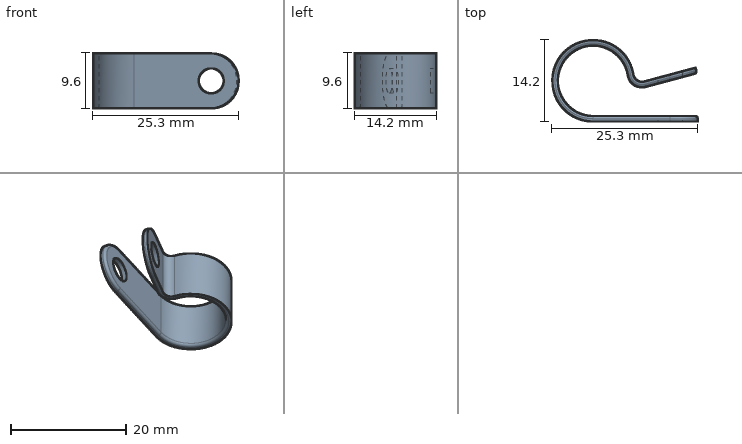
import cadquery as cq
import math

thickness = 1.0
width = 9.6
edge_radius = 0.5

loop_outer_radius = 7.1
loop_inner_radius = loop_outer_radius - thickness
loop_end_angle = 9.0

bend_small_radius = 1.5
bend_large_radius = bend_small_radius + thickness
tab_slope = 15.0

tab_end_radius = width / 2
flat_tab_length = 13.4
sloped_tab_length = 4.45
hole_diameter = 4.3
hole_x = flat_tab_length


def polar(radius, angle, center=(0.0, 0.0)):
    """Point at a radius and an angle in degrees around a center."""
    a = math.radians(angle)
    return (center[0] + radius * math.cos(a), center[1] + radius * math.sin(a))


flat_tab_angle = -90.0
loop_mid_angle = (loop_end_angle + 360.0 + flat_tab_angle) / 2
bend_center = polar(loop_outer_radius + bend_small_radius, loop_end_angle)
bend_start_angle = loop_end_angle + 180.0
bend_end_angle = tab_slope + 270.0
bend_mid_angle = (bend_start_angle + bend_end_angle) / 2


def make_loop_and_bend():
    """Curved part of the strip, from the flat tab to the sloped tab."""
    return (
        cq.Workplane("XY")
        .workplane(offset=-width / 2)
        .moveTo(*polar(loop_outer_radius, flat_tab_angle))
        .threePointArc(polar(loop_outer_radius, loop_mid_angle), polar(loop_outer_radius, loop_end_angle))
        .threePointArc(
            polar(bend_small_radius, bend_mid_angle, bend_center),
            polar(bend_small_radius, bend_end_angle, bend_center),
        )
        .lineTo(*polar(bend_large_radius, bend_end_angle, bend_center))
        .threePointArc(
            polar(bend_large_radius, bend_mid_angle, bend_center),
            polar(loop_inner_radius, loop_end_angle),
        )
        .threePointArc(polar(loop_inner_radius, loop_mid_angle), polar(loop_inner_radius, flat_tab_angle))
        .close()
        .extrude(width)
    )


def make_tab(outer_start, slope, inward_angle, straight_length):
    """Round-ended tab, grown inward from the outer face of the strip."""
    plane = cq.Plane(
        origin=(*outer_start, 0),
        xDir=(*polar(1, slope), 0),
        normal=(*polar(1, inward_angle), 0),
    )
    return (
        cq.Workplane(plane)
        .moveTo(0, -width / 2)
        .lineTo(straight_length, -width / 2)
        .threePointArc((straight_length + tab_end_radius, 0), (straight_length, width / 2))
        .lineTo(0, width / 2)
        .close()
        .extrude(thickness)
    )


def make_hole():
    """Screw hole along Y, long enough to pass through both tabs."""
    return (
        cq.Workplane("XZ")
        .center(hole_x, 0)
        .circle(hole_diameter / 2)
        .extrude(loop_outer_radius, both=True)
    )


flat_tab = make_tab(
    polar(loop_outer_radius, flat_tab_angle), 0.0, flat_tab_angle + 180.0, flat_tab_length
)
sloped_tab = make_tab(
    polar(bend_small_radius, bend_end_angle, bend_center), tab_slope, bend_end_angle, sloped_tab_length
)
clip = make_loop_and_bend().union(flat_tab).union(sloped_tab).cut(make_hole())

inner_edge_point = (flat_tab_length / 2, -loop_inner_radius, width / 2)
result = clip.edges(cq.selectors.NearestToPointSelector(inner_edge_point)).fillet(edge_radius)